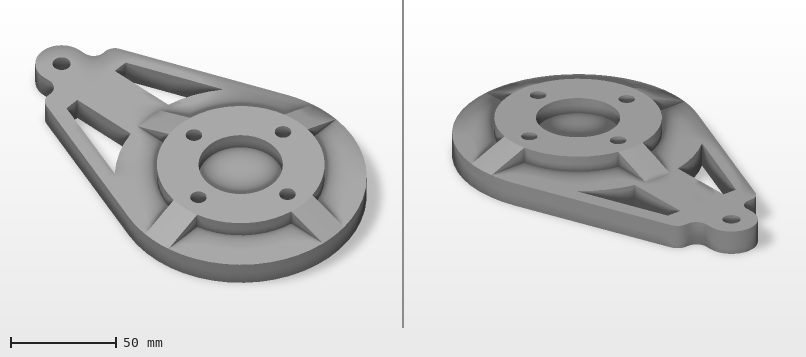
import cadquery as cq
import math

overall_length = 187.5
body_radius = 60.0
plate_thickness = 12.0
total_height = 20.0
hub_radius = 40.0
recess_radius = 20.0
bolt_circle_radius = 30.0
bolt_hole_radius = 4.0
rib_width = 15.0

ear_radius = 12.5
ear_hole_radius = 4.3
ear_x = -(overall_length - body_radius - ear_radius)

shoulder_x = -105.2
shoulder_fillet = 6.0
taper_angle = math.radians(20.6)

window_left_x = -92.8
window_inner_y = 13.3
window_rim = 7.7

hub_height = total_height - plate_thickness


def taper_y(x, inset=0.0):
    """Height at x of the line parallel to the tapered edge, moved inward by inset."""
    return (body_radius - inset + x * math.sin(taper_angle)) / math.cos(taper_angle)


def make_plate():
    """Teardrop plate: round body, tangent tapered sides and a rounded ear."""
    tangent_x = -body_radius * math.sin(taper_angle)
    tangent_y = body_radius * math.cos(taper_angle)
    shoulder_y = taper_y(shoulder_x)
    plate = (
        cq.Workplane("XY")
        .moveTo(tangent_x, tangent_y)
        .threePointArc((body_radius, 0), (tangent_x, -tangent_y))
        .lineTo(shoulder_x, -shoulder_y)
        .lineTo(shoulder_x, -ear_radius)
        .lineTo(ear_x, -ear_radius)
        .threePointArc((ear_x - ear_radius, 0), (ear_x, ear_radius))
        .lineTo(shoulder_x, ear_radius)
        .lineTo(shoulder_x, shoulder_y)
        .close()
        .extrude(plate_thickness)
    )
    edge_margin = 0.2
    corner_box = cq.selectors.BoxSelector(
        (shoulder_x - edge_margin, -body_radius, 0),
        (shoulder_x + edge_margin, body_radius, plate_thickness),
    )
    return plate.edges("|Z").edges(corner_box).fillet(shoulder_fillet)


def make_windows():
    """Cutters for the two openings between the central arm and the tapered sides."""
    rim_distance = body_radius - window_rim
    tip_angle = math.pi / 2 + taper_angle + math.acos(rim_distance / body_radius)
    tip_x = body_radius * math.cos(tip_angle)
    tip_y = body_radius * math.sin(tip_angle)
    inner_angle = math.pi - math.asin(window_inner_y / body_radius)
    mid_angle = (tip_angle + inner_angle) / 2
    window = (
        cq.Workplane("XY")
        .moveTo(window_left_x, window_inner_y)
        .lineTo(window_left_x, taper_y(window_left_x, window_rim))
        .lineTo(tip_x, tip_y)
        .threePointArc(
            (body_radius * math.cos(mid_angle), body_radius * math.sin(mid_angle)),
            (body_radius * math.cos(inner_angle), window_inner_y),
        )
        .close()
        .extrude(plate_thickness)
    )
    return window.union(window.mirror("XZ"))


def make_ribs():
    """Four sloping ribs: a cone around the hub trimmed to crossed strips."""
    cone = (
        cq.Workplane("XZ")
        .moveTo(0, 0)
        .lineTo(-body_radius, 0)
        .lineTo(-body_radius, plate_thickness)
        .lineTo(-hub_radius, total_height)
        .lineTo(0, total_height)
        .close()
        .revolve(360, (0, 0, 0), (0, 1, 0))
    )
    strip_x = cq.Workplane("XY").box(2 * body_radius, rib_width, 2 * total_height)
    strip_y = strip_x.rotate((0, 0, 0), (0, 0, 1), 90)
    above_plate = (
        cq.Workplane("XY", origin=(0, 0, plate_thickness)).circle(body_radius).extrude(hub_height)
    )
    return cone.intersect(strip_x.union(strip_y)).intersect(above_plate)


hub = cq.Workplane("XY", origin=(0, 0, plate_thickness)).circle(hub_radius).extrude(hub_height)
recess = cq.Workplane("XY", origin=(0, 0, plate_thickness)).circle(recess_radius).extrude(hub_height)
bolt_holes = (
    cq.Workplane("XY")
    .polarArray(bolt_circle_radius, 0, 360, 4)
    .circle(bolt_hole_radius)
    .extrude(total_height)
)
ear_hole = cq.Workplane("XY").center(ear_x, 0).circle(ear_hole_radius).extrude(plate_thickness)

result = (
    make_plate()
    .cut(make_windows())
    .union(make_ribs())
    .union(hub)
    .cut(recess)
    .cut(bolt_holes)
    .cut(ear_hole)
)